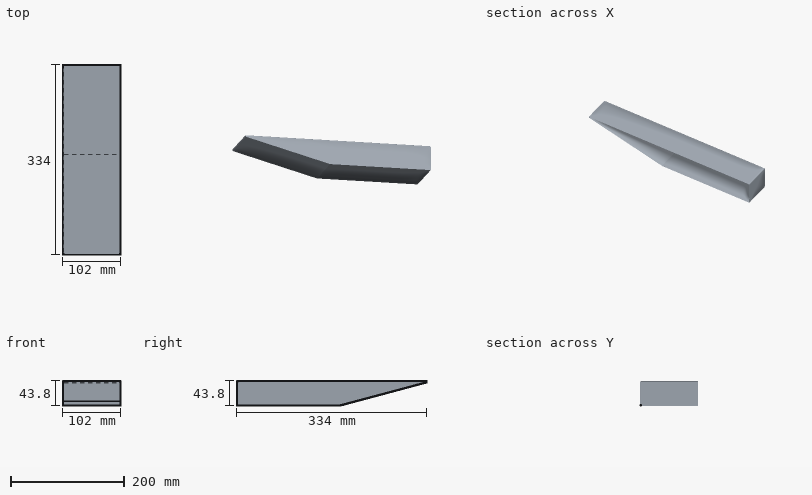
import cadquery as cq

width = 102.0
length = 334.0
height = 43.8

sheet = 1.0
bend_radius = 2.0
inner_bend_radius = bend_radius - sheet
wall_setback = 0.5

rear_lip_height = 3.0
slope_start = 181.7
slope_lip = 5.0

base_length = slope_start - slope_lip
flange_height = 8.5
inner_width = width - 2 * sheet


def side_profile():
    """Side outline of the wedge, drawn in the YZ plane."""
    return cq.Workplane("YZ").polyline([
        (0, 0),
        (slope_start, 0),
        (length, height - rear_lip_height),
        (length, height),
        (0, height),
    ]).close()


def box_on_base(size_x, size_y, size_z):
    """Box centred in x, rising from z = 0 and running back from the front."""
    return cq.Workplane("XY").box(size_x, size_y, size_z, centered=(True, False, False))


def make_base():
    """Bottom plate with an upturned front flange between the side walls."""
    plate = box_on_base(width, base_length, sheet)
    flange = box_on_base(inner_width, sheet, flange_height)
    base = plate.union(flange)
    return base.edges("|X").edges("<Z").edges("<Y").fillet(sheet / 2)


def round_top(body, radius):
    """Round the long top edges and the front top edge."""
    return body.faces(">Z").edges("|Y or <Y").fillet(radius)


def make_cover():
    """Hollow cover with a sloping rear underside, open over the base."""
    outer = round_top(side_profile().extrude(width / 2, both=True), bend_radius)
    cavity = side_profile().offset2D(-sheet).extrude(inner_width / 2, both=True)
    cavity = round_top(cavity, inner_bend_radius)
    base_space = box_on_base(width, base_length, sheet)
    flange_space = box_on_base(inner_width, sheet, flange_height)
    cover = outer.cut(cavity).cut(base_space).cut(flange_space)

    for side in (-1, 1):
        wall_end = cq.Workplane("XY").box(
            sheet, wall_setback, height, centered=(True, False, False)
        ).translate((side * (width - sheet) / 2, 0, 0))
        cover = cover.cut(wall_end)
    return cover


cover = make_cover()
base = make_base()
result = cq.Compound.makeCompound([cover.solids().val(), base.solids().val()])